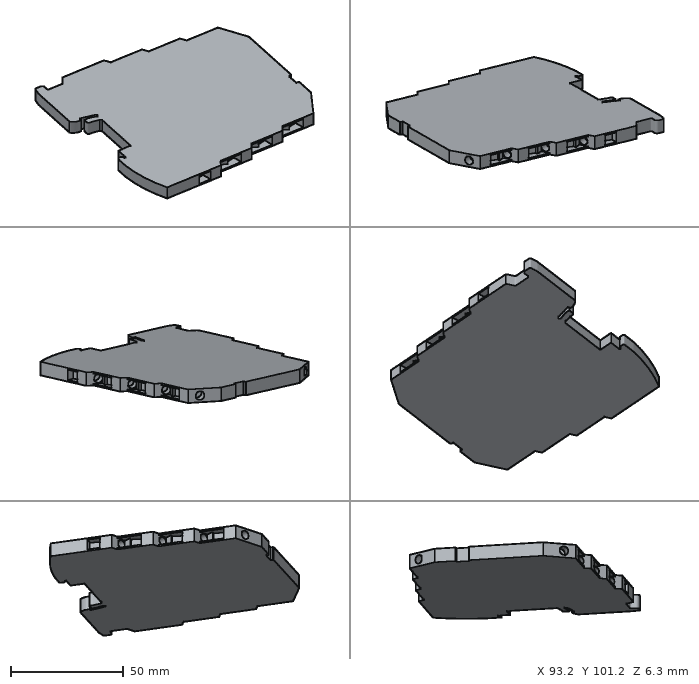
import cadquery as cq
import math

HEIGHT = 101.2
HALF_WIDTH = 46.6
THICKNESS = 6.3

LEVELS = 4
TERRACE_STEP = 2.8
TERRACE_PITCH = 18.5
TOP_HALF_WIDTH = 24.8
BEVEL_ANGLE = math.radians(30)

NOTCH_LEFT = 9.3
NOTCH_RIGHT = 15.1
NOTCH_DEPTH = 1.4
NOTCH_CHAMFER = 0.4

RECESS_DEPTH = 3.8
RECESS_TOP_Y = 15.5
RECESS_TOP_RADIUS = 1.0
RECESS_BOTTOM_RADIUS = 0.6
FOOT_TOP_Y = 5.1
FOOT_TOP_RADIUS = 1.2
TOE_RISE = 0.8
TOE_RADIUS = 0.8

FOOT_END_X = -15.9
FOOT_END_Y = 3.4
FOOT_END_MIDDLE = (-16.4, 1.9)
FOOT_END_BOTTOM = (-17.3, 0.5)
FOOT_SOLE_END_X = -17.9

SLOT_BOTTOM_X = -17.2
SLOT_TOP_LEFT = (-15.6, 12.3)
SLOT_TOP_MIDDLE = (-14.8, 13.0)
SLOT_TOP_RIGHT = (-14.2, 12.1)

FINGER_LEFT_X = -15.3
FINGER_RIGHT_X = -12.1
FINGER_BEND_LEFT_Y = 8.3
FINGER_BEND_RIGHT_Y = 8.1
FINGER_CORNER_RADIUS = 0.8
FINGER_ROOT = (-11.4, 11.9)
FINGER_ROOT_END_X = -10.7

RAIL_SEAT_Y = 12.6
RAIL_SEAT_RIGHT = 12.0
HOOK_UNDERSIDE_Y = 6.1
HOOK_THROAT_X = 17.7
HOOK_THROAT_Y = 5.5
HOOK_TIP_X = 16.5
HOOK_TIP_Y = 4.9
HOOK_TIP_RADIUS = 0.7

HEEL_Y = 2.5
HEEL_START_X = 23.0
HEEL_MIDDLE = (34.8, 4.6)
HEEL_END_Y = 9.0

OPENING_HEIGHT = 4.7
WIRE_MOUTH_DROP = 5.7
WIRE_MOUTH_WIDTH = 6.0
WIRE_DEPTH = 4.7
WIRE_TILT = math.radians(12)
SCREW_DIAMETER = 3.9
SCREW_DEPTH = 5.1
SCREW_FROM_SHOULDER = 5.6
LEDGE_LENGTH = 4.4

bevel_slope = math.tan(BEVEL_ANGLE)
top_level_half = HALF_WIDTH - (LEVELS - 1) * TERRACE_STEP
top_shoulder_y = HEIGHT - (top_level_half - TOP_HALF_WIDTH) * bevel_slope
step_rise = TERRACE_STEP * bevel_slope


def level_half_width(level):
    """Half width of a terrace; level 0 is the uppermost."""
    return top_level_half + level * TERRACE_STEP


def shoulder_y(level):
    """Height at which the bevel above a terrace meets its vertical side."""
    return top_shoulder_y - level * TERRACE_PITCH


def side_points():
    """Right-hand terraced side, from the top edge down to the lowest shoulder."""
    points = [(TOP_HALF_WIDTH, HEIGHT), (top_level_half, top_shoulder_y)]
    for level in range(1, LEVELS):
        y = shoulder_y(level)
        points.append((level_half_width(level - 1), y + step_rise))
        points.append((level_half_width(level), y))
    return points


def body():
    right_side = side_points()
    left_side = [(-x, y) for x, y in reversed(right_side)]
    recess_x = -HALF_WIDTH + RECESS_DEPTH
    recess_y = RECESS_TOP_Y - RECESS_DEPTH * bevel_slope
    notch_floor = HEIGHT - NOTCH_DEPTH
    notch_edge = HEIGHT - NOTCH_CHAMFER

    outline = (
        cq.Workplane("XY", origin=(0, 0, -THICKNESS / 2))
        .polyline(left_side)
        .lineTo(NOTCH_LEFT - NOTCH_CHAMFER, HEIGHT)
        .lineTo(NOTCH_LEFT, notch_edge)
        .lineTo(NOTCH_LEFT, notch_floor)
        .lineTo(NOTCH_RIGHT, notch_floor)
        .lineTo(NOTCH_RIGHT, notch_edge)
        .lineTo(NOTCH_RIGHT + NOTCH_CHAMFER, HEIGHT)
    )
    for point in right_side:
        outline = outline.lineTo(*point)
    outline = (
        outline
        .lineTo(HALF_WIDTH, HEEL_END_Y)
        .threePointArc(HEEL_MIDDLE, (HEEL_START_X, HEEL_Y))
        .lineTo(HOOK_TIP_X, HEEL_Y)
        .lineTo(HOOK_TIP_X, HOOK_TIP_Y)
        .lineTo(HOOK_THROAT_X, HOOK_THROAT_Y)
        .lineTo(HOOK_THROAT_X, HOOK_UNDERSIDE_Y)
        .lineTo(RAIL_SEAT_RIGHT, HOOK_UNDERSIDE_Y)
        .lineTo(RAIL_SEAT_RIGHT, RAIL_SEAT_Y)
        .lineTo(FINGER_ROOT_END_X, RAIL_SEAT_Y)
        .lineTo(*FINGER_ROOT)
        .lineTo(FINGER_RIGHT_X, FINGER_BEND_RIGHT_Y)
        .lineTo(FINGER_RIGHT_X, HOOK_UNDERSIDE_Y)
        .lineTo(FINGER_LEFT_X, HOOK_UNDERSIDE_Y)
        .lineTo(FINGER_LEFT_X, FINGER_BEND_LEFT_Y)
        .lineTo(*SLOT_TOP_RIGHT)
        .threePointArc(SLOT_TOP_MIDDLE, SLOT_TOP_LEFT)
        .lineTo(SLOT_BOTTOM_X, FOOT_TOP_Y)
        .lineTo(FOOT_END_X, FOOT_TOP_Y)
        .lineTo(FOOT_END_X, FOOT_END_Y)
        .threePointArc(FOOT_END_MIDDLE, FOOT_END_BOTTOM)
        .lineTo(FOOT_SOLE_END_X, 0)
        .lineTo(recess_x, 0)
        .lineTo(-HALF_WIDTH, TOE_RISE)
        .lineTo(-HALF_WIDTH, FOOT_TOP_Y)
        .lineTo(recess_x, FOOT_TOP_Y)
        .lineTo(recess_x, recess_y)
        .lineTo(-HALF_WIDTH, RECESS_TOP_Y)
        .close()
    )
    plate = outline.extrude(THICKNESS)

    rounded_corners = [
        (-HALF_WIDTH, TOE_RISE, TOE_RADIUS),
        (-HALF_WIDTH, FOOT_TOP_Y, FOOT_TOP_RADIUS),
        (recess_x, FOOT_TOP_Y, RECESS_BOTTOM_RADIUS),
        (recess_x, recess_y, RECESS_TOP_RADIUS),
        (FINGER_RIGHT_X, HOOK_UNDERSIDE_Y, FINGER_CORNER_RADIUS),
        (HOOK_TIP_X, HEEL_Y, HOOK_TIP_RADIUS),
    ]
    for x, y, radius in rounded_corners:
        corner = cq.selectors.NearestToPointSelector((x, y, 0))
        plate = plate.edges("|Z").edges(corner).fillet(radius)
    return plate


def opening(points):
    """Prism of an opening, centred in the thickness."""
    return cq.Workplane("XY").polyline(points).close().extrude(OPENING_HEIGHT / 2, both=True)


def offset(point, angle, distance):
    """Point at a given direction and distance from another point."""
    return (point[0] + distance * math.cos(angle), point[1] + distance * math.sin(angle))


def wire_mouth(level):
    """Upper and lower ends of the wire mouth in the left side of a terrace."""
    side_x = -level_half_width(level)
    upper_y = shoulder_y(level) - WIRE_MOUTH_DROP
    return (side_x, upper_y), (side_x, upper_y - WIRE_MOUTH_WIDTH)


def wire_pocket(level):
    """Blind pocket with a level lower wall; the upper wall and the floor are tilted together."""
    upper, lower = wire_mouth(level)
    upper_inner = offset(upper, -WIRE_TILT, WIRE_DEPTH)
    floor_drop = upper_inner[1] - lower[1]
    lower_inner = (upper_inner[0] - floor_drop * math.tan(WIRE_TILT), lower[1])
    return opening([upper, upper_inner, lower_inner, lower])


def screw_ledge(level):
    """Recess that carries the bevel below a terrace inward, up to the wire mouth."""
    _, mouth_lower = wire_mouth(level)
    outer = (mouth_lower[0], shoulder_y(level + 1) + step_rise)
    inner = offset(outer, BEVEL_ANGLE, LEDGE_LENGTH)
    end_wall_rise = mouth_lower[1] - inner[1]
    tip = (inner[0] - end_wall_rise * bevel_slope, mouth_lower[1])
    return opening([outer, inner, tip, mouth_lower])


def screw_hole(level):
    """Blind hole square to the bevel above a terrace."""
    shoulder = (-level_half_width(level), shoulder_y(level))
    x, y = offset(shoulder, BEVEL_ANGLE, SCREW_FROM_SHOULDER)
    inward = cq.Vector(math.sin(BEVEL_ANGLE), -math.cos(BEVEL_ANGLE), 0)
    return cq.Workplane(
        cq.Solid.makeCylinder(SCREW_DIAMETER / 2, SCREW_DEPTH, cq.Vector(x, y, 0), inward)
    )


result = body()
for level in range(LEVELS):
    cutters = [wire_pocket(level), screw_hole(level)]
    if level < LEVELS - 1:
        cutters.append(screw_ledge(level))
    for cutter in cutters:
        result = result.cut(cutter).cut(cutter.mirror("YZ"))